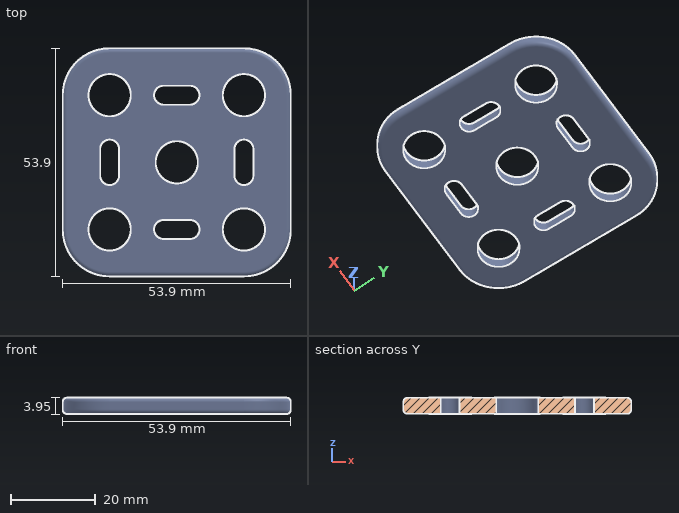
import cadquery as cq

side = 53.9
thickness = 3.95
corner_radius = 11.1
edge_radius = 1.1

hole_diameter = 9.9
slot_length = 10.65
slot_width = 4.4
pitch = side / 2 - corner_radius


def make_plate():
    """Square plate with rounded corners and rounded top and bottom rims."""
    plate = cq.Workplane("XY").box(side, side, thickness).edges("|Z").fillet(corner_radius)
    return plate.faces("<Z or >Z").edges().fillet(edge_radius)


def cut_round_holes(plate):
    """One hole in the middle and one at each corner."""
    centres = [(0, 0)] + [(x, y) for x in (-pitch, pitch) for y in (-pitch, pitch)]
    return plate.faces(">Z").workplane(origin=(0, 0, 0)).pushPoints(centres).hole(hole_diameter)


def cut_slots(plate):
    """One slot midway along each side, parallel to that side."""
    side_slots = [
        (0, [(0, -pitch), (0, pitch)]),
        (90, [(-pitch, 0), (pitch, 0)]),
    ]
    for angle, centres in side_slots:
        top = plate.faces(">Z").workplane(origin=(0, 0, 0))
        plate = top.pushPoints(centres).slot2D(slot_length, slot_width, angle).cutThruAll()
    return plate


result = cut_slots(cut_round_holes(make_plate()))